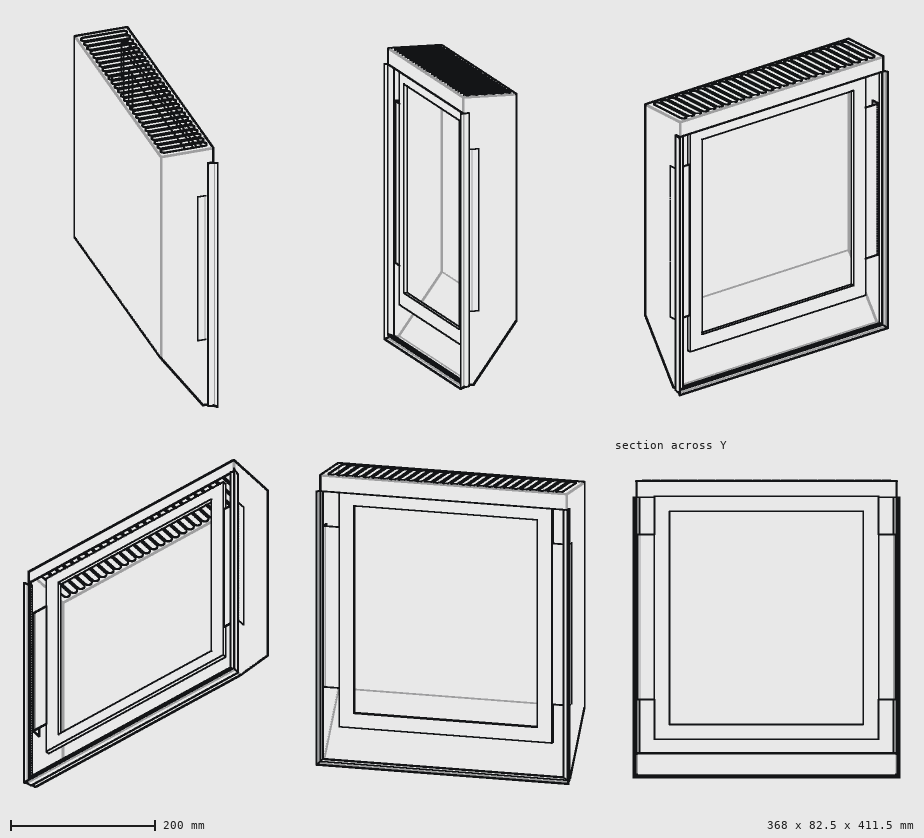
import cadquery as cq

overall_width = 368.0
overall_depth = 82.5
overall_height = 411.5
sheet = 1.2

housing_width = 360.7
housing_back = -4.0
housing_floor = 3.5
slope_top = 91.5
slope_foot = -20.0
bend_radius = 1.5

flange_top = 388.0
flange_depth = 13.0
flange_overlap = 1.0
lip_depth = 4.5
lip_flare = 1.5
lip_thickness = 1.03
inner_lip_reach = 9.0
inner_lip_back = -3.0
groove_floor = -6.5

slot_count = 27
slot_pitch = 12.8
slot_width = 10.3
slot_back = -10.0
slot_front = -77.5

frame_width = 310.0
frame_top = 389.0
frame_bottom = 53.5
frame_side = 21.5
frame_rail = 20.5
frame_back = -13.0
frame_front = -18.5

angle_bottom = 108.0
angle_length = 228.3
angle_wall_leg = 14.0
angle_back = -13.5
angle_bend = 3.5

housing_half = housing_width / 2
wall_inner = housing_half - sheet


def housing_block(inset):
    """Solid of the housing outline, moved inward by `inset` on every face, with rounded bends."""
    profile = [
        (housing_back, overall_height),
        (-overall_depth, overall_height),
        (-overall_depth, slope_top),
        (slope_foot, housing_floor),
        (housing_back, housing_floor),
    ]
    outline = cq.Workplane("YZ").polyline(profile).close()
    if inset:
        outline = outline.offset2D(-inset, "intersection")
    block = outline.extrude(housing_half - inset, both=True)
    return block.edges().fillet(bend_radius - inset)


def make_housing():
    shell = housing_block(0).cut(housing_block(sheet))
    back_opening = cq.Workplane("XY").box(
        overall_width, flange_depth, flange_top, centered=(True, False, False)
    ).translate((0, -flange_depth, 0))
    slots = (
        cq.Workplane("XY", origin=(0, (slot_back + slot_front) / 2, overall_height - sheet))
        .rarray(slot_pitch, 4, slot_count, 1)
        .slot2D(slot_back - slot_front, slot_width, 90)
        .extrude(sheet)
    )
    return shell.cut(back_opening).cut(slots)


def make_flange():
    """V-section swept down the left side, across the bottom and up the right side."""
    left = -overall_width / 2
    root_outer = -housing_half - flange_overlap
    root_inner = -wall_inner
    tip = left + inner_lip_reach
    section = [
        (left, 0),
        (left + lip_flare, -lip_depth),
        (root_outer, -flange_depth),
        (root_inner, -flange_depth),
        (tip, inner_lip_back),
        (tip - lip_thickness, inner_lip_back),
        ((root_outer + root_inner) / 2, groove_floor),
        (left + lip_flare + lip_thickness, -lip_depth),
        (left + lip_thickness, 0),
    ]
    path = cq.Workplane("XZ").polyline(
        [(left, flange_top), (left, 0), (-left, 0), (-left, flange_top)]
    )
    profile = cq.Workplane("XY", origin=(0, 0, flange_top)).polyline(section).close()
    return profile.sweep(path, transition="right")


def make_frame():
    height = frame_top - frame_bottom
    centre = (frame_top + frame_bottom) / 2
    return (
        cq.Workplane("XZ", origin=(0, frame_back, centre))
        .rect(frame_width, height)
        .rect(frame_width - 2 * frame_side, height - 2 * frame_rail)
        .extrude(frame_back - frame_front)
    )


def angle_block(inset):
    """Block spanning both angle legs, with its bend moved inward by `inset`."""
    inner_edge = frame_width / 2
    block = (
        cq.Workplane("XY", origin=(inner_edge, angle_back - angle_wall_leg, angle_bottom))
        .rect(wall_inner - inner_edge - inset, angle_wall_leg - inset, centered=False)
        .extrude(angle_length)
    )
    return block.edges("|Z and >X and >Y").fillet(angle_bend - inset)


def make_angle():
    """Bent angle with one leg on the +X side wall and the other reaching inward to the frame."""
    return angle_block(0).cut(angle_block(sheet))


housing = make_housing()
flange = make_flange()
frame = make_frame()
right_angle = make_angle()
angles = [right_angle, right_angle.mirror("YZ")]

result = cq.Compound.makeCompound(
    [housing.val(), flange.val(), frame.val(), *[angle.val() for angle in angles]]
)